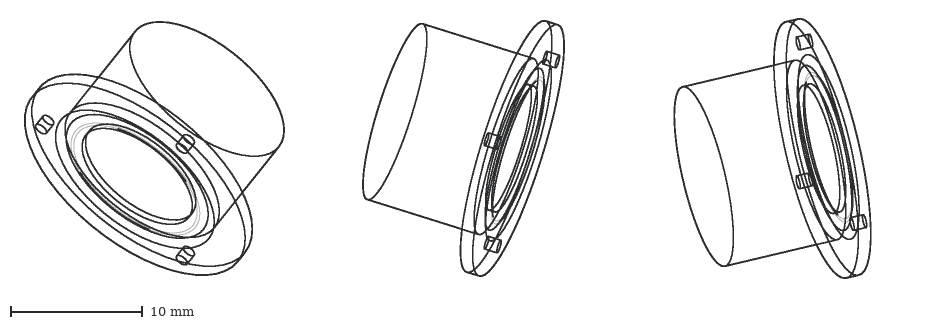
import cadquery as cq
import math

flange_radius = 10.0
flange_thickness = 1.0
barrel_radius = 7.0
overall_length = 10.0

groove_outer_radius = 7.2
groove_bottom_radius = 6.45
groove_depth = 0.32
crest_outer_radius = 5.85
crest_inner_radius = 5.6
crest_drop = 0.05
recess_radius = 5.0
recess_cone_depth = groove_depth
recess_depth = 0.8

hole_diameter = 1.0
hole_circle_radius = 8.5
hole_count = 3


def revolved_body():
    """Flange and barrel with the grooved front face, as one revolved profile."""
    crest_middle_radius = (crest_outer_radius + crest_inner_radius) / 2
    return (
        cq.Workplane("XY")
        .moveTo(0, recess_depth)
        .lineTo(recess_radius, recess_depth)
        .lineTo(recess_radius, recess_cone_depth)
        .lineTo(crest_inner_radius, crest_drop)
        .threePointArc((crest_middle_radius, 0), (crest_outer_radius, crest_drop))
        .lineTo(groove_bottom_radius, groove_depth)
        .lineTo(groove_outer_radius, 0)
        .lineTo(flange_radius, 0)
        .lineTo(flange_radius, flange_thickness)
        .lineTo(barrel_radius, flange_thickness)
        .lineTo(barrel_radius, overall_length)
        .lineTo(0, overall_length)
        .close()
        .revolve(360, (0, 0, 0), (0, 1, 0))
    )


def mounting_holes():
    """Cylinders through the flange, evenly spaced with the first one on -X."""
    holes = cq.Workplane("XZ")
    for index in range(hole_count):
        angle = math.pi + index * 2 * math.pi / hole_count
        holes = holes.moveTo(hole_circle_radius * math.cos(angle), hole_circle_radius * math.sin(angle))
        holes = holes.circle(hole_diameter / 2)
    return holes.extrude(-flange_thickness)


result = revolved_body().cut(mounting_holes())